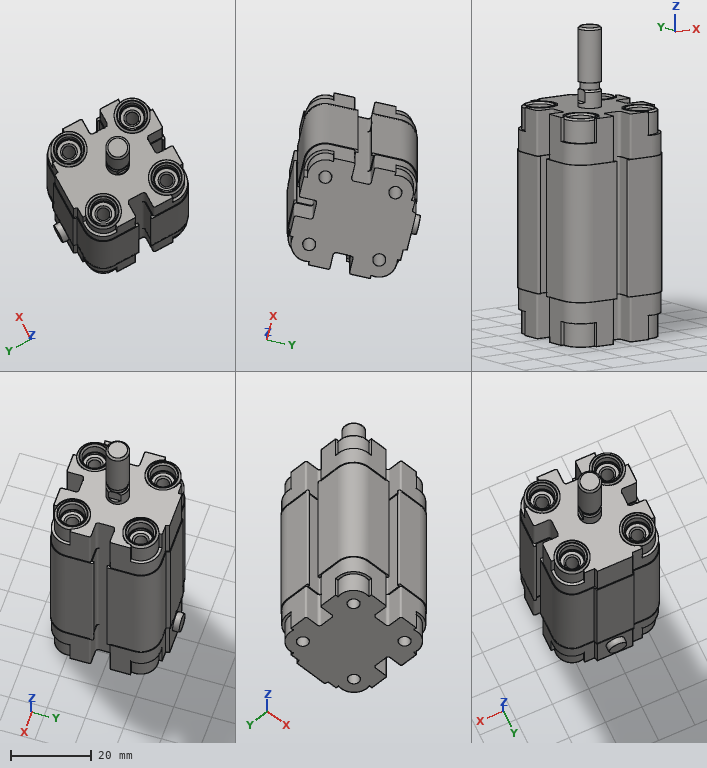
import cadquery as cq
import math

barrel_width = 29.0
barrel_half = barrel_width / 2
barrel_corner_radius = 5.4
screw_spacing = 18.0
hole_offset = screw_spacing / 2
cap_inset = 0.2
cap_length = 11.55
housing_length = 58.1
barrel_length = housing_length - 2 * cap_length

pad_top = 15.5
pad_top_half = 5.1
pad_base_half = 5.4

slot_floor = 9.6
slot_flat_width = 3.5
slot_flat_half = slot_flat_width / 2
barrel_slot_width = 4.55
barrel_slot_half = barrel_slot_width / 2
barrel_mouth_radius = 0.2
lip_half = slot_flat_half
lip_depth = 0.7
cap_slot_half = barrel_slot_half + cap_inset
cap_mouth_radius = 0.5

screw_hole_diameter = 3.2
screw_countersink_diameter = 4.15
lower_bore_diameter = 6.0
upper_bore_diameter = 6.4
upper_bore_depth = 2.9
lower_bore_depth = 3.6
bore_chamfer = 0.5
post_diameter = 9.0
groove_depth = 0.5
groove_inner_diameter = 7.8
notch_length = 6.1
notch_start = 7.9

plug_diameter = 5.0
plug_tip_diameter = 4.8
plug_taper_length = 0.5
overall_depth = 31.4
plug_tip = overall_depth - barrel_half
plug_height = 7.2

rod_top = 78.5
rod_diameter = 6.0
rod_tip_chamfer = 0.55
head_bottom = 64.5
neck_diameter = 4.95
neck_bottom = 62.65
shoulder_diameter = 5.2
shoulder_chamfer_height = 0.5
flat_spacing = 5.0
flat_bottom = 59.6
rod_socket_depth = cap_length


def mouth_cutter(face, half_width, radius, depth, length):
    """Slot opening on the -Y side whose two outer edges are rounded."""
    bend = radius * (1 - math.sqrt(0.5))
    inner = -face + depth
    return (
        cq.Workplane("XY")
        .moveTo(-half_width - radius, -face)
        .threePointArc((-half_width - bend, -face + bend), (-half_width, -face + radius))
        .lineTo(-half_width, inner)
        .lineTo(half_width, inner)
        .lineTo(half_width, -face + radius)
        .threePointArc((half_width + bend, -face + bend), (half_width + radius, -face))
        .close()
        .extrude(length)
    )


def slot_cutter(face, half_width, mouth_half, mouth_radius, length):
    """Slot on the -Y side: a chamber with rounded floor corners behind its mouth."""
    chamber_outer = face - lip_depth
    chamber = (
        cq.Workplane("XY")
        .center(0, -(chamber_outer + slot_floor) / 2)
        .rect(2 * half_width, chamber_outer - slot_floor)
        .extrude(length)
        .edges("|Z and >Y")
        .fillet(half_width - slot_flat_half)
    )
    return chamber.union(mouth_cutter(face, mouth_half, mouth_radius, lip_depth, length))


def make_section(bottom, length, inset, slot_half, mouth_half, mouth_radius):
    """One length of the housing, its outline set back by the inset."""
    face = barrel_half - inset
    section = (
        cq.Workplane("XY")
        .rect(2 * face, 2 * face)
        .extrude(length)
        .edges("|Z")
        .fillet(barrel_corner_radius - inset)
    )
    pad = (
        cq.Workplane("XY")
        .moveTo(-pad_base_half + inset, 0)
        .lineTo(-pad_base_half + inset, face)
        .lineTo(-pad_top_half + inset, pad_top - inset)
        .lineTo(pad_top_half - inset, pad_top - inset)
        .lineTo(pad_base_half - inset, face)
        .lineTo(pad_base_half - inset, 0)
        .close()
        .extrude(length)
    )
    section = section.union(pad)
    slot = slot_cutter(face, slot_half, mouth_half, mouth_radius, length)
    for angle in (-90, 0, 90):
        section = section.cut(slot.rotate((0, 0, 0), (0, 0, 1), angle))
    return section.translate((0, 0, bottom))


def notch_cutter(bottom):
    """Relief of the +X +Y corner that leaves a round post about the screw axis."""
    reach = barrel_half - notch_start
    block = (
        cq.Workplane("XY", origin=(notch_start, notch_start, bottom))
        .rect(reach, reach, centered=False)
        .extrude(notch_length)
    )
    post = (
        cq.Workplane("XY", origin=(hole_offset, hole_offset, bottom))
        .circle(post_diameter / 2)
        .extrude(notch_length)
    )
    return block.cut(post)


def screw_seat_cutter():
    """Stepped, countersunk screw hole with a V groove around its rim."""
    upper_radius = upper_bore_diameter / 2
    lower_radius = lower_bore_diameter / 2
    sink_radius = screw_countersink_diameter / 2
    hole_radius = screw_hole_diameter / 2
    sink_depth = lower_bore_depth + sink_radius - hole_radius
    hole = (
        cq.Workplane("XZ")
        .polyline([
            (0, 0),
            (upper_radius + bore_chamfer, 0),
            (upper_radius, -bore_chamfer),
            (upper_radius, -upper_bore_depth),
            (lower_radius, -upper_bore_depth),
            (lower_radius, -lower_bore_depth),
            (sink_radius, -lower_bore_depth),
            (hole_radius, -sink_depth),
            (hole_radius, -housing_length),
            (0, -housing_length),
        ])
        .close()
        .revolve(360, (0, 0, 0), (0, 1, 0))
    )
    groove = (
        cq.Workplane("XZ")
        .polyline([
            (groove_inner_diameter / 2, 0),
            (post_diameter / 2, 0),
            (post_diameter / 2, -groove_depth),
        ])
        .close()
        .revolve(360, (0, 0, 0), (0, 1, 0))
    )
    return hole.union(groove).translate((hole_offset, hole_offset, housing_length))


def make_plug():
    """Slightly tapered round plug pointing along +Y, rooted in the pad."""
    root = barrel_half - cap_inset
    taper_start = plug_tip - plug_taper_length
    return (
        cq.Workplane("XY")
        .polyline([
            (0, root),
            (plug_diameter / 2, root),
            (plug_diameter / 2, taper_start),
            (plug_tip_diameter / 2, plug_tip),
            (0, plug_tip),
        ])
        .close()
        .revolve(360, (0, 0, 0), (0, 1, 0))
        .translate((0, 0, plug_height))
    )


def make_housing():
    housing = make_section(
        cap_length, barrel_length, 0, barrel_slot_half, lip_half, barrel_mouth_radius
    )
    for bottom in (0, housing_length - cap_length):
        cap = make_section(
            bottom, cap_length, cap_inset, cap_slot_half, cap_slot_half, cap_mouth_radius
        )
        housing = housing.union(cap)

    corner_cutters = [
        notch_cutter(0),
        notch_cutter(housing_length - notch_length),
        screw_seat_cutter(),
    ]
    for cutter in corner_cutters:
        for angle in (0, 90, 180, 270):
            housing = housing.cut(cutter.rotate((0, 0, 0), (0, 0, 1), angle))

    rod_socket = (
        cq.Workplane("XY", origin=(0, 0, housing_length - rod_socket_depth))
        .circle(rod_diameter / 2)
        .extrude(rod_socket_depth)
    )
    return housing.union(make_plug()).cut(rod_socket)


def make_rod():
    rod_radius = rod_diameter / 2
    neck_radius = neck_diameter / 2
    shoulder_radius = shoulder_diameter / 2
    rod_bottom = housing_length - rod_socket_depth
    rod = (
        cq.Workplane("XZ")
        .polyline([
            (0, rod_bottom),
            (rod_radius, rod_bottom),
            (rod_radius, neck_bottom - shoulder_chamfer_height),
            (shoulder_radius, neck_bottom),
            (neck_radius, neck_bottom),
            (neck_radius, head_bottom),
            (rod_radius, head_bottom),
            (rod_radius, rod_top - rod_tip_chamfer),
            (rod_radius - rod_tip_chamfer, rod_top),
            (0, rod_top),
        ])
        .close()
        .revolve(360, (0, 0, 0), (0, 1, 0))
    )
    flat_half = flat_spacing / 2
    ramp = rod_radius - flat_half
    for side in (-1, 1):
        flat_cutter = (
            cq.Workplane("XZ")
            .polyline([
                (side * flat_half, flat_bottom),
                (side * rod_radius, flat_bottom - ramp),
                (side * rod_radius, neck_bottom),
                (side * flat_half, neck_bottom),
            ])
            .close()
            .extrude(rod_radius, both=True)
        )
        rod = rod.cut(flat_cutter)
    return rod


housing = make_housing()
rod = make_rod()
result = cq.Compound.makeCompound([housing.val(), rod.val()])